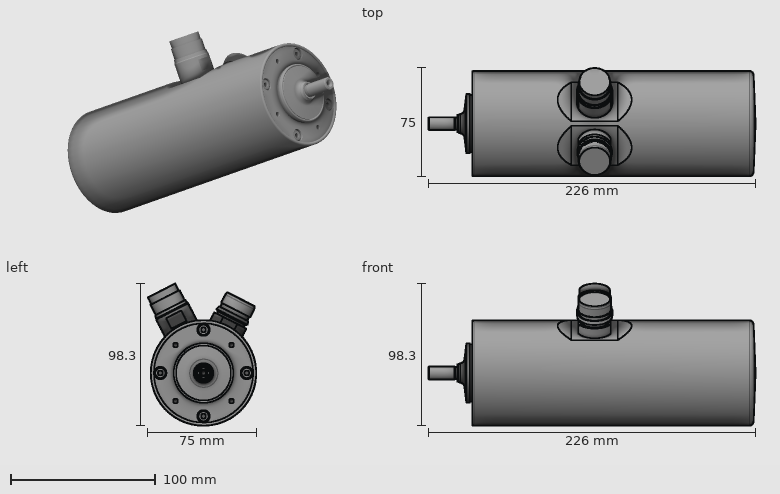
import cadquery as cq
import math

TOTAL_LENGTH = 226.0
HOUSING_RADIUS = 73.0 / 2
HOUSING_FRONT_X = 31.5
HOUSING_BEAD_RADIUS = 1.1
REAR_EDGE_X = 221.5
REAR_RIM_X = 224.6
REAR_RIM_RADIUS = 33.2
REAR_EDGE_FILLET = 3.5

BOSS_RADIUS = 20.5
BOSS_UNDERCUT_RADIUS = 20.0
BOSS_UNDERCUT_X = 28.5
BOSS_RIM_X = 27.0
BOSS_BEAD_RADIUS = 0.8
BOSS_FACE_X = 26.0

HUB_RADIUS = 6.8
HUB_NOSE_RADIUS = 12.0 / 2
HUB_FRONT_X = 20.0
HUB_NOSE_X = 20.5
HUB_CONE_X = 22.0
HUB_FLARE_RADIUS = 9.7
HUB_FLARE_X = 24.9
SEAL_GAP_RADIUS = 5.0
SEAL_GAP_DEPTH = 1.1

SHAFT_RADIUS = 4.5
SHAFT_TIP_CHAMFER = 0.56
SHAFT_NECK_RADIUS = 4.3
SHAFT_SHOULDER_X = 17.9
SHAFT_NECK_X = 18.5
CENTRE_HOLE_DIAMETER = 3.5
CENTRE_SINK_DIAMETER = 5.5
CENTRE_HOLE_DEPTH = 6.8

SCREW_COUNT = 4
SCREW_CIRCLE_RADIUS = 29.8
SCREW_RECESS_DIAMETER = 8.5
SCREW_RECESS_DEPTH = 4.5
SCREW_HEAD_DIAMETER = 8.0
SCREW_HEAD_CHAMFER = 0.5
SCREW_HEAD_HEIGHT = 3.5
SCREW_SOCKET_DIAMETER = 3.5
SCREW_SOCKET_DEPTH = 2.3
TAPPED_CIRCLE_RADIUS = 27.3
TAPPED_DIAMETER = 3.5
TAPPED_DEPTH = 6.8

CONNECTOR_X = 114.8
CONNECTOR_TILT = 27.0
SEAT_HEIGHT = 33.2
SEAT_LENGTH = 32.0
SEAT_CLEARANCE = 2.3
SEAT_END_SLOPE = 19.0
CONNECTOR_BASE_RADIUS = 12.5
BODY_RADIUS = 11.3
TIP_RADIUS = 10.6


def revolve_about_x(points):
    """Solid of revolution from (x, radius) points closed along the X axis."""
    return cq.Workplane("XY").polyline(points).close().revolve(360, (0, 0, 0), (1, 0, 0))


def revolve_about_z(points):
    """Solid of revolution from (radius, z) points closed along the Z axis."""
    return cq.Workplane("XZ").polyline(points).close().revolve(360, (0, 0, 0), (0, 1, 0))


def tilted(shape, side):
    """Move a shape built on the Z axis to a connector place; side is +1 for +Y, -1 for -Y."""
    return shape.rotate((0, 0, 0), (1, 0, 0), -side * CONNECTOR_TILT).translate((CONNECTOR_X, 0, 0))


def face_plane(x):
    """Workplane at x, facing along +X, with local Y and Z as global Y and Z."""
    return cq.Workplane("YZ", origin=(x, 0, 0))


def make_housing_blank():
    outline = (
        cq.Workplane("XY")
        .moveTo(HOUSING_FRONT_X, 0)
        .lineTo(HOUSING_FRONT_X, HOUSING_RADIUS - 2 * HOUSING_BEAD_RADIUS)
        .threePointArc(
            (HOUSING_FRONT_X - HOUSING_BEAD_RADIUS, HOUSING_RADIUS - HOUSING_BEAD_RADIUS),
            (HOUSING_FRONT_X, HOUSING_RADIUS),
        )
        .lineTo(REAR_EDGE_X, HOUSING_RADIUS)
        .radiusArc((REAR_RIM_X, REAR_RIM_RADIUS), REAR_EDGE_FILLET)
        .lineTo(TOTAL_LENGTH, 0)
        .close()
    )
    return outline.revolve(360, (0, 0, 0), (1, 0, 0))


def make_boss_and_hub():
    bead_inner_radius = BOSS_RADIUS - 2 * BOSS_BEAD_RADIUS
    outline = (
        cq.Workplane("XY")
        .moveTo(HUB_FRONT_X, 0)
        .lineTo(HUB_FRONT_X, HUB_NOSE_RADIUS)
        .lineTo(HUB_NOSE_X, HUB_NOSE_RADIUS)
        .lineTo(HUB_CONE_X, HUB_RADIUS)
        .radiusArc((HUB_FLARE_X, HUB_FLARE_RADIUS), -(HUB_FLARE_RADIUS - HUB_RADIUS))
        .lineTo(BOSS_FACE_X, bead_inner_radius)
        .lineTo(BOSS_RIM_X, bead_inner_radius)
        .threePointArc(
            (BOSS_RIM_X - BOSS_BEAD_RADIUS, BOSS_RADIUS - BOSS_BEAD_RADIUS),
            (BOSS_RIM_X, BOSS_RADIUS),
        )
        .lineTo(BOSS_UNDERCUT_X, BOSS_RADIUS)
        .lineTo(BOSS_UNDERCUT_X, BOSS_UNDERCUT_RADIUS)
        .lineTo(HOUSING_FRONT_X, BOSS_UNDERCUT_RADIUS)
        .lineTo(HOUSING_FRONT_X, 0)
        .close()
    )
    blank = outline.revolve(360, (0, 0, 0), (1, 0, 0))
    seal_gap = face_plane(HUB_FRONT_X).circle(SEAL_GAP_RADIUS).extrude(SEAL_GAP_DEPTH)
    return blank.cut(seal_gap)


def make_shaft():
    shaft = revolve_about_x([
        (0, 0),
        (0, SHAFT_RADIUS - SHAFT_TIP_CHAMFER),
        (SHAFT_TIP_CHAMFER, SHAFT_RADIUS),
        (SHAFT_SHOULDER_X, SHAFT_RADIUS),
        (SHAFT_NECK_X, SHAFT_NECK_RADIUS),
        (HOUSING_FRONT_X, SHAFT_NECK_RADIUS),
        (HOUSING_FRONT_X, 0),
    ])
    hole_radius = CENTRE_HOLE_DIAMETER / 2
    sink_radius = CENTRE_SINK_DIAMETER / 2
    centre_hole = revolve_about_x([
        (0, 0),
        (0, sink_radius),
        (sink_radius - hole_radius, hole_radius),
        (CENTRE_HOLE_DEPTH, hole_radius),
        (CENTRE_HOLE_DEPTH + hole_radius, 0),
    ])
    return shaft.cut(centre_hole)


def make_screw_recesses():
    """Ring-shaped clearance around each screw head, with the drive socket in the head."""
    head_x = HOUSING_FRONT_X + SCREW_RECESS_DEPTH - SCREW_HEAD_HEIGHT

    def at_screws(x):
        return face_plane(x).polarArray(SCREW_CIRCLE_RADIUS, 0, 360, SCREW_COUNT)

    recesses = at_screws(HOUSING_FRONT_X).circle(SCREW_RECESS_DIAMETER / 2).extrude(SCREW_RECESS_DEPTH)
    heads = at_screws(head_x).circle(SCREW_HEAD_DIAMETER / 2).extrude(SCREW_HEAD_HEIGHT)
    heads = heads.faces("<X").chamfer(SCREW_HEAD_CHAMFER)
    sockets = at_screws(head_x).circle(SCREW_SOCKET_DIAMETER / 2).extrude(SCREW_SOCKET_DEPTH)
    return recesses.cut(heads).union(sockets)


def make_tapped_holes():
    hole_radius = TAPPED_DIAMETER / 2
    hole = revolve_about_x([
        (HOUSING_FRONT_X, 0),
        (HOUSING_FRONT_X, hole_radius),
        (HOUSING_FRONT_X + TAPPED_DEPTH, hole_radius),
        (HOUSING_FRONT_X + TAPPED_DEPTH + hole_radius, 0),
    ]).translate((0, TAPPED_CIRCLE_RADIUS, 0))
    holes = cq.Workplane("XY")
    pitch_angle = 360 / SCREW_COUNT
    for index in range(SCREW_COUNT):
        angle = (index + 0.5) * pitch_angle
        holes = holes.add(hole.rotate((0, 0, 0), (1, 0, 0), angle))
    return holes.combine()


def make_seat_cutter(side):
    """Flat seat for a connector, with sloped run-outs at both ends along X."""
    cut_height = HOUSING_RADIUS - SEAT_HEIGHT + SEAT_CLEARANCE
    half_seat = SEAT_LENGTH / 2
    half_top = half_seat + cut_height / math.tan(math.radians(SEAT_END_SLOPE))
    top = SEAT_HEIGHT + cut_height
    cutter = (
        cq.Workplane("XZ")
        .polyline([(-half_seat, SEAT_HEIGHT), (half_seat, SEAT_HEIGHT), (half_top, top), (-half_top, top)])
        .close()
        .extrude(HOUSING_RADIUS, both=True)
    )
    return tilted(cutter, side)


def make_motor():
    motor = make_housing_blank().union(make_boss_and_hub()).union(make_shaft())
    motor = motor.cut(make_screw_recesses()).cut(make_tapped_holes())
    for side in (1, -1):
        motor = motor.cut(make_seat_cutter(side))
    return motor


def cut_wrench_flats(connector, across_flats, bottom, top):
    """Cut two opposite flats, facing -X and +X, between two heights."""
    depth = CONNECTOR_BASE_RADIUS
    for side in (1, -1):
        cutter = cq.Workplane("XY").box(depth, 2 * CONNECTOR_BASE_RADIUS, top - bottom)
        cutter = cutter.translate((side * (across_flats + depth) / 2, 0, (bottom + top) / 2))
        connector = connector.cut(cutter)
    return connector


def make_tall_connector():
    tip_height = 64.0
    body_top = 58.5
    shoulder_top = 50.6
    shoulder_top_radius = 11.8
    shoulder_bottom = 48.4
    shoulder_bottom_radius = 24.2 / 2
    base_top = 47.7
    across_flats = 22.0
    flat_bottom = 37.3
    flat_top = 45.5
    connector = revolve_about_z([
        (0, SEAT_HEIGHT),
        (CONNECTOR_BASE_RADIUS, SEAT_HEIGHT),
        (CONNECTOR_BASE_RADIUS, base_top),
        (shoulder_bottom_radius, shoulder_bottom),
        (shoulder_top_radius, shoulder_top),
        (BODY_RADIUS, shoulder_top),
        (BODY_RADIUS, body_top),
        (TIP_RADIUS, body_top),
        (TIP_RADIUS, tip_height),
        (0, tip_height),
    ])
    connector = cut_wrench_flats(connector, across_flats, flat_bottom, flat_top)
    return tilted(connector, 1)


def make_short_connector():
    tip_height = 57.2
    tip_chamfer_edge = 56.5
    tip_chamfer_radius = 22.0 / 2
    body_top = 55.1
    body_bottom = 48.8
    neck_radius = 21.0 / 2
    ring_top = 45.9
    ring_top_radius = 11.3
    ring_edge = 43.5
    ring_radius = 24.2 / 2
    ring_bottom = 42.5
    base_top = 40.7
    across_flats = 22.4
    connector = revolve_about_z([
        (0, SEAT_HEIGHT),
        (CONNECTOR_BASE_RADIUS, SEAT_HEIGHT),
        (CONNECTOR_BASE_RADIUS, base_top),
        (neck_radius, base_top),
        (neck_radius, ring_bottom),
        (ring_radius, ring_edge),
        (ring_top_radius, ring_top),
        (neck_radius, ring_top),
        (neck_radius, body_bottom),
        (BODY_RADIUS, body_bottom),
        (BODY_RADIUS, body_top),
        (tip_chamfer_radius, tip_chamfer_edge),
        (TIP_RADIUS, tip_height),
        (0, tip_height),
    ])
    connector = cut_wrench_flats(connector, across_flats, SEAT_HEIGHT, base_top)
    return tilted(connector, -1)


motor = make_motor()
tall_connector = make_tall_connector()
short_connector = make_short_connector()

result = cq.Compound.makeCompound([motor.val(), tall_connector.val(), short_connector.val()])